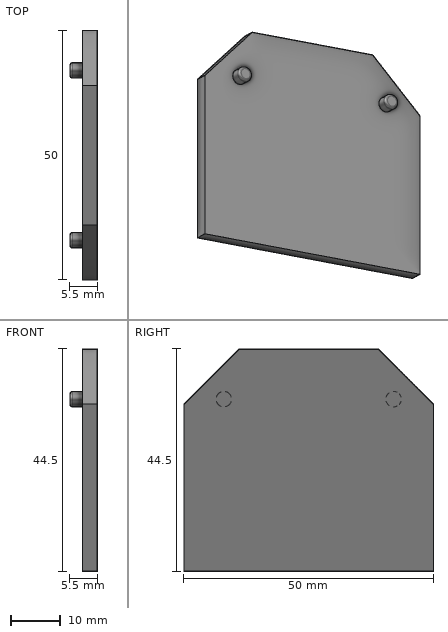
import cadquery as cq

plate_thickness = 3.0
plate_width = 50.0
plate_height = 44.5
corner_cut = 11.0

pin_diameter = 3.1
pin_length = 2.5
pin_spacing = 34.0
pin_drop = 10.0
pin_tip_fillet = 0.5


def make_plate():
    """Rectangular plate with both upper corners cut off at 45 degrees."""
    plate = cq.Workplane("XY").box(
        plate_thickness, plate_width, plate_height, centered=(False, True, False)
    )
    return plate.edges("|X and >Z").chamfer(corner_cut)


def make_pin(y):
    """Round pin with a rounded tip, pointing toward -X from the plate face."""
    pin = (
        cq.Workplane("YZ")
        .center(y, plate_height - pin_drop)
        .circle(pin_diameter / 2)
        .extrude(-pin_length)
    )
    return pin.faces("<X").edges().fillet(pin_tip_fillet)


result = make_plate()
for side in (-1, 1):
    result = result.union(make_pin(side * pin_spacing / 2))